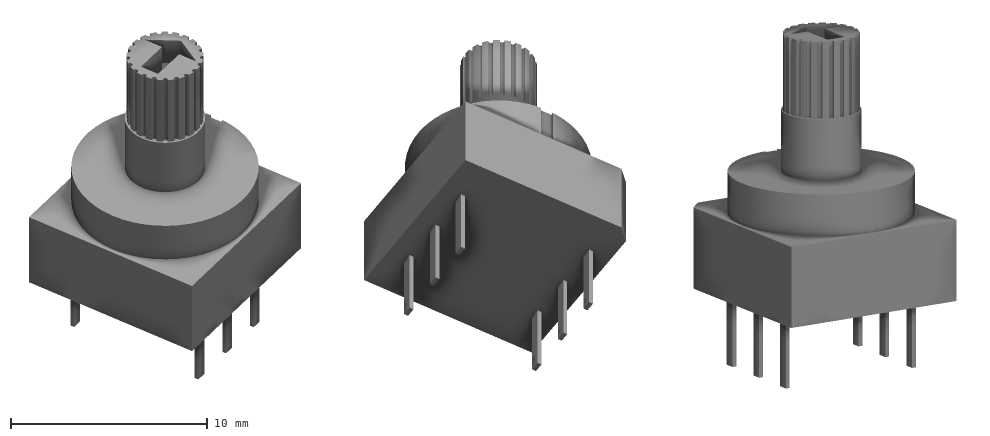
import cadquery as cq

BODY_SIDE = 10.0
CORNER_CHAMFER = 0.7
BASE_HEIGHT = 1.21
COVER_HEIGHT = 3.06

DIAL_DIAMETER = 9.55
DIAL_HEIGHT = 2.2
NOTCH_WIDTH = 0.72
NOTCH_DEPTH = 0.18

PIN_LENGTH = 3.84
PIN_THICKNESS = 0.23
PIN_WIDTH = 0.55
PIN_PITCH = 2.53
PIN_ROW_SPACING = 7.62
PINS_PER_ROW = 3

TOTAL_HEIGHT = 17.6
SHAFT_DIAMETER = 4.1
PLAIN_SHAFT_HEIGHT = 3.24
KNURL_DIAMETER = 3.92
GROOVE_COUNT = 21
GROOVE_WIDTH = 0.25
GROOVE_DEPTH = 0.18

ARROW_TIP_Y = 1.46
ARROW_SHOULDER_Y = 0.51
ARROW_TAIL_Y = -1.4
ARROW_HEAD_WIDTH = 3.17
ARROW_STEM_WIDTH = 1.05
ARROW_DEPTH = 1.5

BASE_BOTTOM = PIN_LENGTH
COVER_BOTTOM = BASE_BOTTOM + BASE_HEIGHT
DIAL_BOTTOM = COVER_BOTTOM + COVER_HEIGHT
SHAFT_BOTTOM = DIAL_BOTTOM + DIAL_HEIGHT
KNURL_BOTTOM = SHAFT_BOTTOM + PLAIN_SHAFT_HEIGHT


def at_height(z):
    return cq.Workplane("XY").workplane(offset=z)


def square_block(bottom, height):
    """Square block with its -X, +Y corner cut off."""
    return (
        at_height(bottom)
        .rect(BODY_SIDE, BODY_SIDE)
        .extrude(height)
        .edges("|Z and <X and >Y")
        .chamfer(CORNER_CHAMFER)
    )


def make_base():
    """Base plate with its moulded-in terminal pins."""
    row_half = (PINS_PER_ROW - 1) / 2
    pin_centres = [
        (side * PIN_ROW_SPACING / 2, (index - row_half) * PIN_PITCH)
        for side in (-1, 1)
        for index in range(PINS_PER_ROW)
    ]
    pins = (
        cq.Workplane("XY")
        .pushPoints(pin_centres)
        .rect(PIN_THICKNESS, PIN_WIDTH)
        .extrude(PIN_LENGTH)
    )
    return square_block(BASE_BOTTOM, BASE_HEIGHT).union(pins)


def make_cover():
    """Cover with the round dial and its zero-position notch."""
    dial = at_height(DIAL_BOTTOM).circle(DIAL_DIAMETER / 2).extrude(DIAL_HEIGHT)
    notch = (
        at_height(DIAL_BOTTOM)
        .center(0, DIAL_DIAMETER / 2)
        .rect(NOTCH_WIDTH, 2 * NOTCH_DEPTH)
        .extrude(DIAL_HEIGHT)
    )
    return square_block(COVER_BOTTOM, COVER_HEIGHT).union(dial.cut(notch))


def make_knurl():
    """Grooved upper part of the shaft, with one groove facing -Y."""
    knurl_height = TOTAL_HEIGHT - KNURL_BOTTOM
    groove = (
        at_height(KNURL_BOTTOM)
        .center(0, -KNURL_DIAMETER / 2)
        .slot2D(2 * GROOVE_DEPTH, GROOVE_WIDTH, 90)
        .extrude(knurl_height)
    )
    knurl = at_height(KNURL_BOTTOM).circle(KNURL_DIAMETER / 2).extrude(knurl_height)
    for index in range(GROOVE_COUNT):
        knurl = knurl.cut(groove.rotate((0, 0, 0), (0, 0, 1), index * 360 / GROOVE_COUNT))
    return knurl


def make_arrow_recess():
    """Cutter for the arrow, which points to +Y."""
    half_head = ARROW_HEAD_WIDTH / 2
    half_stem = ARROW_STEM_WIDTH / 2
    return (
        at_height(TOTAL_HEIGHT - ARROW_DEPTH)
        .polyline([
            (0, ARROW_TIP_Y),
            (half_head, ARROW_SHOULDER_Y),
            (half_stem, ARROW_SHOULDER_Y),
            (half_stem, ARROW_TAIL_Y),
            (-half_stem, ARROW_TAIL_Y),
            (-half_stem, ARROW_SHOULDER_Y),
            (-half_head, ARROW_SHOULDER_Y),
        ])
        .close()
        .extrude(ARROW_DEPTH)
    )


def make_shaft():
    """Turning shaft standing on the dial."""
    plain = at_height(SHAFT_BOTTOM).circle(SHAFT_DIAMETER / 2).extrude(PLAIN_SHAFT_HEIGHT)
    return plain.union(make_knurl()).cut(make_arrow_recess())


base = make_base()
cover = make_cover()
shaft = make_shaft()

result = cq.Compound.makeCompound([base.val(), cover.val(), shaft.val()])